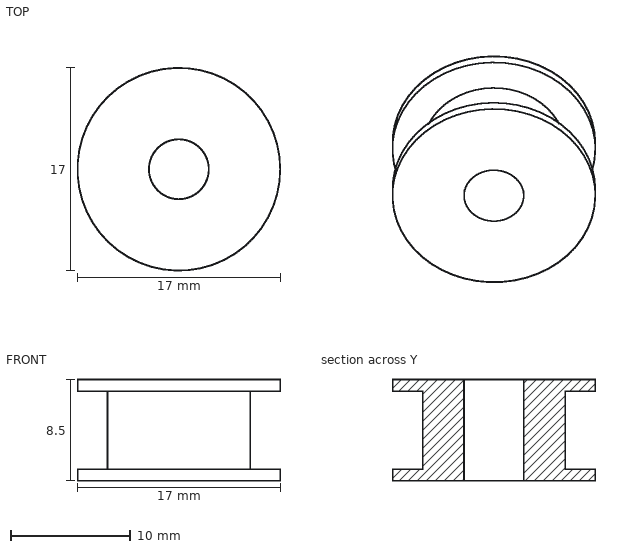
import cadquery as cq

flange_diameter = 17.0
hub_diameter = 12.0
bore_diameter = 5.0
spool_height = 8.5
flange_thickness = 1.0


def disc(diameter, thickness, base_z):
    """Solid disc on the Z axis, rising from base_z."""
    return cq.Workplane("XY").workplane(offset=base_z).circle(diameter / 2).extrude(thickness)


spool = disc(hub_diameter, spool_height, 0)
for flange_base in (0, spool_height - flange_thickness):
    spool = spool.union(disc(flange_diameter, flange_thickness, flange_base))

result = spool.cut(disc(bore_diameter, spool_height, 0))